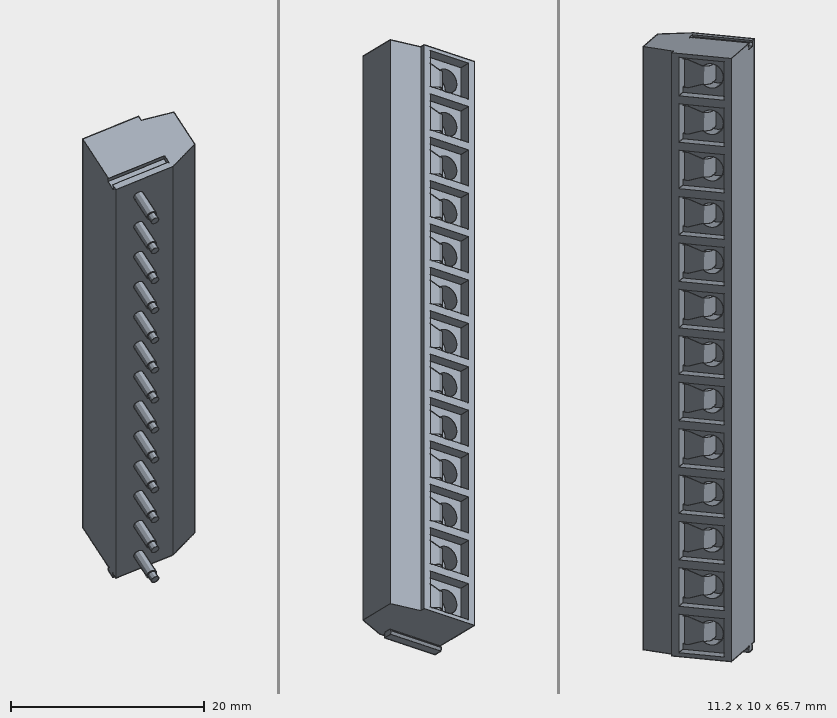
import cadquery as cq


cell_count = 13
housing_height = 65.0
cell_pitch = housing_height / cell_count
housing_depth = 7.5
housing_width = 10.0
shoulder_y = 6.5
shoulder_ledge = 0.6
crown_front_inset = 1.2
crown_back_inset = 1.6
crown_back_drop = 3.35

pocket_y_min = 0.8
pocket_y_max = 5.7
pocket_height = 4.15
pocket_depth = 1.3

contact_y = 2.6
well_radius = 1.3
well_depth = 2.0

guard_rise = 0.03
guard_wide_half = 1.5
guard_narrow_half = 1.0
lip_radius = 0.6
nose_radius = 0.8
guard_nose_y = 2.75
neck_y = guard_nose_y + nose_radius

pin_diameter = 1.1
pin_shank_length = 2.95
pin_tip_diameter = 0.85
pin_tip_length = 0.8

joint_x = 6.3
joint_neck_half = 0.4
joint_flare_half = 0.6
joint_end_half = 0.5
joint_flare_height = 0.25
joint_height = 0.65
groove_clearance = 0.05


def make_housing():
    """Prism with the side profile of the block."""
    outline = [
        (0, 0),
        (housing_depth, 0),
        (housing_depth, housing_width - crown_back_drop),
        (housing_depth - crown_back_inset, housing_width),
        (crown_front_inset, housing_width),
        (shoulder_ledge, shoulder_y),
        (0, shoulder_y),
    ]
    return cq.Workplane("XY").polyline(outline).close().extrude(housing_height)


def box_between(x_min, x_max, y_min, y_max, height):
    """Box centred on Z = 0 with the given X and Y limits."""
    return (
        cq.Workplane("XY")
        .box(x_max - x_min, y_max - y_min, height, centered=(False, False, True))
        .translate((x_min, y_min, 0))
    )


def round_along_x(diameter, x_start, length):
    """Cylinder parallel to X on the contact line of a cell."""
    base = cq.Workplane("YZ", origin=(x_start, contact_y, 0))
    return base.circle(diameter / 2).extrude(length)


def make_cell_cavity():
    """Pocket, round well and the notch behind the guard's lip."""
    pocket = box_between(0, pocket_depth, pocket_y_min, pocket_y_max, pocket_height)
    well = round_along_x(2 * well_radius, 0, pocket_depth + well_depth)
    lip_notch = box_between(
        0, pocket_depth + lip_radius, pocket_y_max - lip_radius, pocket_y_max, 2 * guard_wide_half
    )
    return pocket.union(well).union(lip_notch)


def make_guard():
    """Tapered tongue, rounded over at both ends, that reaches the bottom of the well."""
    taper_y = pocket_y_max - lip_radius
    half_widths = [
        (pocket_y_max, guard_wide_half),
        (taper_y, guard_wide_half),
        (neck_y, guard_narrow_half),
        (guard_nose_y, guard_narrow_half),
    ]
    lower_side = [(y, -half) for y, half in reversed(half_widths)]
    return (
        cq.Workplane("YZ", origin=(pocket_depth - guard_rise, 0, 0))
        .polyline(half_widths + lower_side)
        .close()
        .extrude(guard_rise + well_depth)
        .edges("<X and >Y")
        .fillet(lip_radius)
        .edges("<X and <Y")
        .fillet(nose_radius)
    )


def make_pin():
    """Stepped round solder pin on the +X face."""
    shank = round_along_x(pin_diameter, housing_depth, pin_shank_length)
    tip = round_along_x(pin_tip_diameter, housing_depth + pin_shank_length, pin_tip_length)
    return shank.union(tip)


def make_joint(clearance=0.0):
    """Dovetail bar below Z = 0, running along Y from the -Y face to the shoulder."""
    half_widths = [
        (joint_neck_half + clearance, 0),
        (joint_flare_half + clearance, -joint_flare_height),
        (joint_end_half + clearance, -joint_height),
    ]
    right_side = [(joint_x + half, z) for half, z in half_widths]
    left_side = [(joint_x - half, z) for half, z in reversed(half_widths)]
    return cq.Workplane("XZ").polyline(right_side + left_side).close().extrude(-shoulder_y)


cavity = make_cell_cavity()
guard = make_guard()
pin = make_pin()

result = make_housing()
for index in range(cell_count):
    cell_center = (0, 0, (index + 0.5) * cell_pitch)
    result = result.cut(cavity.translate(cell_center))
    result = result.union(guard.translate(cell_center))
    result = result.union(pin.translate(cell_center))

result = result.cut(make_joint(groove_clearance).translate((0, 0, housing_height)))
result = result.union(make_joint())